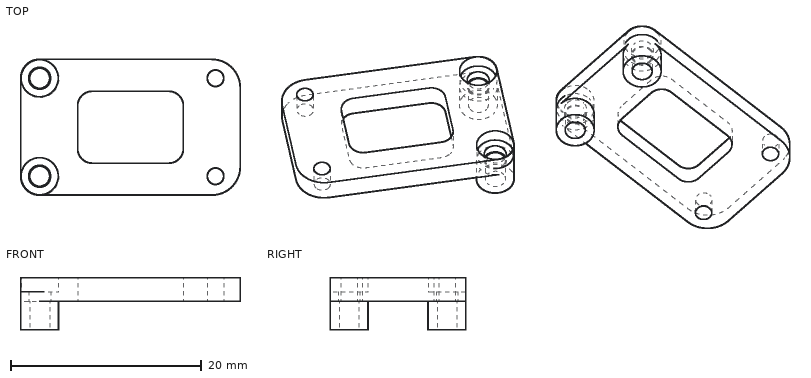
import cadquery as cq

length = 23.1
width = 14.3
plate_thickness = 2.5
right_corner_radius = 3

boss_diameter = 4.0
boss_height = 3
boss_radius = boss_diameter / 2
hole_y = width / 2 - boss_radius
boss_points = [(boss_radius, -hole_y), (boss_radius, hole_y)]

recess_diameter = 3.9
recess_depth = 1.5
upper_bore_diameter = 2.3
lower_bore_diameter = 2.1

small_hole_diameter = 1.7
small_hole_x = 20.5
small_hole_points = [(small_hole_x, -hole_y), (small_hole_x, hole_y)]

window_length = 11.09
window_width = 7.53
window_corner_radius = 1.5


def cylinders(points, diameter, bottom, top):
    """Upright cylinders at the given points, between two heights."""
    return (
        cq.Workplane("XY", origin=(0, 0, bottom))
        .pushPoints(points)
        .circle(diameter / 2)
        .extrude(top - bottom)
    )


def rounded_plate():
    """Plate whose left corners are concentric with the bosses."""
    return (
        cq.Workplane("XY", origin=(length / 2, 0, 0))
        .rect(length, width)
        .extrude(plate_thickness)
        .edges("|Z and <X").fillet(boss_radius)
        .edges("|Z and >X").fillet(right_corner_radius)
    )


def window():
    return (
        cq.Workplane("XY", origin=(length / 2, 0, 0))
        .rect(window_length, window_width)
        .extrude(plate_thickness)
        .edges("|Z").fillet(window_corner_radius)
    )


recess_floor = plate_thickness - recess_depth

result = (
    rounded_plate()
    .union(cylinders(boss_points, boss_diameter, -boss_height, recess_floor))
    .cut(window())
    .cut(cylinders(boss_points, recess_diameter, recess_floor, plate_thickness))
    .cut(cylinders(boss_points, upper_bore_diameter, 0, recess_floor))
    .cut(cylinders(boss_points, lower_bore_diameter, -boss_height, 0))
    .cut(cylinders(small_hole_points, small_hole_diameter, 0, plate_thickness))
)